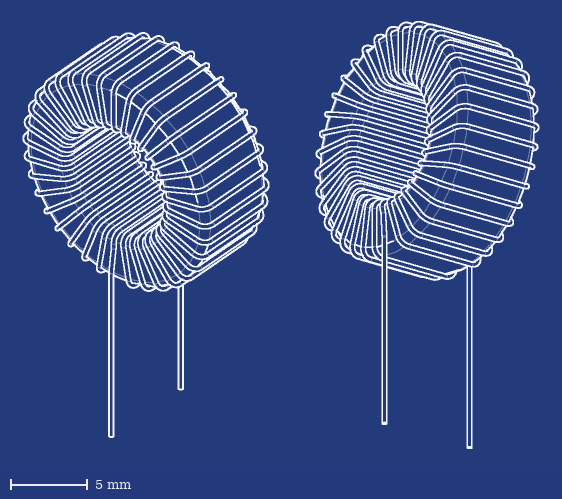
import cadquery as cq
import math

core_diameter = 15.4
bore_diameter = 8.35
core_width = 6.2
core_fillet = 0.5

wire_diameter = 0.3
turn_count = 36
lead_angle = -90.0
lead_tip_z = -19.9
lead_gap = 7.0
lift_off_radius = 5.08
lead_bend_z = -6.9
lead_bend_radius = 0.28

wire_radius = wire_diameter / 2
turn_step = 360.0 / turn_count
outer_path_radius = core_diameter / 2 + wire_radius
inner_path_radius = bore_diameter / 2 - wire_radius
back_y = core_width / 2 + wire_radius
front_y = -back_y
wire_bend_radius = core_fillet + wire_radius


def polar_point(radius, angle, y):
    """Point at a radius and an angle around the core axis."""
    turn = math.radians(angle)
    return cq.Vector(radius * math.cos(turn), y, radius * math.sin(turn))


def make_core():
    ring = (
        cq.Workplane("XZ", origin=(0, core_width / 2, 0))
        .circle(core_diameter / 2)
        .circle(bore_diameter / 2)
        .extrude(core_width)
    )
    return ring.edges().fillet(core_fillet)


def winding_corners():
    """Corners of the wire path, each with its bend radius, from the front lead to the back lead."""
    front_lead_y = -lead_gap / 2
    corners = [
        (cq.Vector(0, front_lead_y, lead_tip_z), 0),
        (cq.Vector(0, front_lead_y, lead_bend_z), lead_bend_radius),
        (polar_point(lift_off_radius, lead_angle, front_y), lead_bend_radius),
    ]

    for turn in range(turn_count):
        inner_angle = lead_angle - turn * turn_step
        outer_angle = inner_angle - turn_step
        turn_points = [
            polar_point(inner_path_radius, inner_angle, front_y),
            polar_point(inner_path_radius, inner_angle, back_y),
        ]
        if turn < turn_count - 1:
            turn_points.append(polar_point(outer_path_radius, outer_angle, back_y))
            turn_points.append(polar_point(outer_path_radius, outer_angle, front_y))
        corners += [(point, wire_bend_radius) for point in turn_points]

    last_inner = corners[-1][0]
    lead_foot = cq.Vector(0, back_y, lead_bend_z)
    strand_share = (lift_off_radius - inner_path_radius) / (-lead_bend_z - inner_path_radius)
    corners += [
        (last_inner + (lead_foot - last_inner) * strand_share, lead_bend_radius),
        (cq.Vector(0, lead_gap / 2, lead_bend_z), lead_bend_radius),
        (cq.Vector(0, lead_gap / 2, lead_tip_z), 0),
    ]
    return corners


def rounded_path(corners):
    """Straight stretches joined by tangent arcs at the inner corners."""
    edges = []
    start = corners[0][0]
    for before, corner, after in zip(corners, corners[1:], corners[2:]):
        point, radius = corner
        to_before = (before[0] - point).normalized()
        to_after = (after[0] - point).normalized()
        half_angle = to_before.getAngle(to_after) / 2
        tangent_length = radius / math.tan(half_angle)
        centre_distance = radius / math.sin(half_angle)
        arc_start = point + to_before * tangent_length
        arc_end = point + to_after * tangent_length
        arc_middle = point + (to_before + to_after).normalized() * (centre_distance - radius)
        edges.append(cq.Edge.makeLine(start, arc_start))
        edges.append(cq.Edge.makeThreePointArc(arc_start, arc_middle, arc_end))
        start = arc_end
    edges.append(cq.Edge.makeLine(start, corners[-1][0]))
    return cq.Wire.assembleEdges(edges)


def make_winding():
    corners = winding_corners()
    section = cq.Workplane("XY", origin=corners[0][0].toTuple()).circle(wire_radius)
    return section.sweep(cq.Workplane(rounded_path(corners)))


core = make_core()
winding = make_winding()

result = cq.Compound.makeCompound([core.val(), winding.val()])